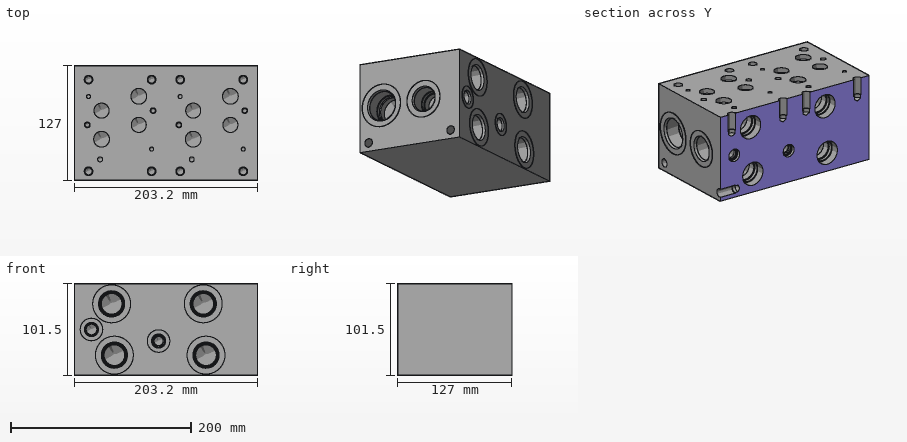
import cadquery as cq
import math

LENGTH, DEPTH, HEIGHT = 203.2, 127.0, 101.5
MID_HEIGHT = HEIGHT / 2

STATION_PITCH = LENGTH / 2
STATION_OFFSETS = [0.0, STATION_PITCH]

INTO_FRONT = (0, 1, 0)
INTO_LEFT = (1, 0, 0)
INTO_TOP = (0, 0, -1)

DRILL_POINT_ANGLE = 118.0

SPOTFACE_DEPTH = 0.6
LARGE_PORT = {
    "spotface": 48.8, "seal_mouth": 35.5, "seal_end": 33.7, "thread": 33.3, "tap_drill": 31.3,
    "pilot": 28.9, "seal_depth": 3.7, "thread_depth": 19.3, "tap_drill_depth": 23.4, "pilot_depth": 32.5,
}
MEDIUM_PORT = {
    "spotface": 42.0, "seal_mouth": 29.0, "seal_end": 27.5, "thread": 27.0, "tap_drill": 25.0,
    "pilot": 23.0, "seal_depth": 3.7, "thread_depth": 19.3, "tap_drill_depth": 23.4, "pilot_depth": 32.5,
}
SMALL_PORT = {
    "spotface": 25.0, "seal_mouth": 15.6, "seal_end": 14.6, "thread": 14.2, "tap_drill": 12.8,
    "pilot": 11.8, "seal_depth": 2.8, "thread_depth": 13.2, "tap_drill_depth": 15.2, "pilot_depth": 18.3,
}
GAUGE_PORT = {**SMALL_PORT, "pilot": 10.2}

PORT_A = (44.5, 22.4)
PORT_B = (41.5, 79.2)
SIDE_PORT = (19.0, MID_HEIGHT)
GA_PORT = (93.5, 38.0)
PORT_T = (99.8, MID_HEIGHT)
PORT_P = (46.1, MID_HEIGHT)

MOUNTING_TAP = {"thread": 9.5, "tap_drill": 8.0, "thread_depth": 20.3, "drill_depth": 24.4}
SMALL_TAP = {"thread": 6.3, "tap_drill": 5.0, "thread_depth": 12.2, "drill_depth": 16.3}

LEFT_TAP_HEIGHT = 9.8
LEFT_TAP_YS = [11.4, 115.8]

STATION_TAP_INSET = 15.8
STATION_TAP_XS = [STATION_TAP_INSET, STATION_PITCH - STATION_TAP_INSET]
STATION_TAP_YS = [10.0, 111.5]
SMALL_TAP_CENTRES = [(14.5, 61.4), (87.4, 77.2)]

WIDE_FLOW_DIAMETER = 17.5
WIDE_FLOW_CENTRES = [(30.3, 45.5), (71.5, 93.0)]
NARROW_FLOW_DIAMETER = 16.7
NARROW_FLOW_CENTRES = [(30.3, 77.2), (71.5, 61.4)]
FLOW_DEPTH = 5.5

DRAIN_DIAMETER = 4.5
DRAIN_DEPTH = 10.2
DRAIN_CENTRES = list(zip(STATION_TAP_XS, [92.9, 34.5]))

PIN_DIAMETER = 5.5
PIN_DEPTH = 1.8
PIN_CENTRE = (28.7, 23.2)


def point_length(diameter):
    """Length of the conical drill point of a given diameter."""
    return diameter / 2 / math.tan(math.radians(DRILL_POINT_ANGLE / 2))


def drilled(point, direction, steps):
    """Round cutter through (diameter, depth) steps, ending in a drill point."""
    last_diameter, last_depth = steps[-1]
    outline = [(0, 0)]
    outline += [(diameter / 2, depth) for diameter, depth in steps]
    outline += [(0, last_depth + point_length(last_diameter))]
    cutter = cq.Workplane("XZ").polyline(outline).close().revolve(360, (0, 0, 0), (0, 1, 0))
    x_dir = (0, 1, 0) if direction == INTO_LEFT else (1, 0, 0)
    seat = cq.Plane(origin=point, xDir=x_dir, normal=direction)
    return cutter.val().located(cq.Location(seat))


def blind_hole(point, direction, diameter, depth):
    return drilled(point, direction, [(diameter, 0), (diameter, depth)])


def tapped_hole(point, direction, tap):
    steps = [
        (tap["thread"], 0),
        (tap["thread"], tap["thread_depth"]),
        (tap["tap_drill"], tap["thread_depth"]),
        (tap["tap_drill"], tap["drill_depth"]),
    ]
    return drilled(point, direction, steps)


def port(point, direction, size):
    """Shallow spotface, seal cone, thread, tap drill with conical shoulder, pilot bore."""
    shoulder_length = point_length(size["tap_drill"] - size["pilot"])
    steps = [
        (size["spotface"], 0),
        (size["spotface"], SPOTFACE_DEPTH),
        (size["seal_mouth"], SPOTFACE_DEPTH),
        (size["seal_end"], size["seal_depth"]),
        (size["thread"], size["seal_depth"]),
        (size["thread"], size["thread_depth"]),
        (size["tap_drill"], size["thread_depth"]),
        (size["tap_drill"], size["tap_drill_depth"]),
        (size["pilot"], size["tap_drill_depth"] + shoulder_length),
        (size["pilot"], size["pilot_depth"]),
    ]
    return drilled(point, direction, steps)


def front_cutters():
    def front_port(centre, size, offset=0.0):
        x, z = centre
        return port((x + offset, 0, z), INTO_FRONT, size)

    cutters = [front_port(SIDE_PORT, SMALL_PORT), front_port(GA_PORT, GAUGE_PORT)]
    for offset in STATION_OFFSETS:
        cutters.append(front_port(PORT_A, MEDIUM_PORT, offset))
        cutters.append(front_port(PORT_B, MEDIUM_PORT, offset))
    return cutters


def left_cutters():
    cutters = [
        port((0, *PORT_T), INTO_LEFT, LARGE_PORT),
        port((0, *PORT_P), INTO_LEFT, MEDIUM_PORT),
    ]
    for y in LEFT_TAP_YS:
        cutters.append(tapped_hole((0, y, LEFT_TAP_HEIGHT), INTO_LEFT, MOUNTING_TAP))
    return cutters


def station_cutters(offset):
    """All holes of one valve station on the top face."""
    def on_top(centre):
        x, y = centre
        return (x + offset, y, HEIGHT)

    cutters = []
    for x in STATION_TAP_XS:
        for y in STATION_TAP_YS:
            cutters.append(tapped_hole(on_top((x, y)), INTO_TOP, MOUNTING_TAP))
    for centre in SMALL_TAP_CENTRES:
        cutters.append(tapped_hole(on_top(centre), INTO_TOP, SMALL_TAP))
    for centre in WIDE_FLOW_CENTRES:
        cutters.append(blind_hole(on_top(centre), INTO_TOP, WIDE_FLOW_DIAMETER, FLOW_DEPTH))
    for centre in NARROW_FLOW_CENTRES:
        cutters.append(blind_hole(on_top(centre), INTO_TOP, NARROW_FLOW_DIAMETER, FLOW_DEPTH))
    for centre in DRAIN_CENTRES:
        cutters.append(blind_hole(on_top(centre), INTO_TOP, DRAIN_DIAMETER, DRAIN_DEPTH))
    cutters.append(blind_hole(on_top(PIN_CENTRE), INTO_TOP, PIN_DIAMETER, PIN_DEPTH))
    return cutters


cutters = front_cutters() + left_cutters()
for offset in STATION_OFFSETS:
    cutters += station_cutters(offset)

block = cq.Workplane("XY").box(LENGTH, DEPTH, HEIGHT, centered=False)
manifold = block.val().cut(*cutters)
result = cq.Workplane("XY").newObject(manifold.Solids())